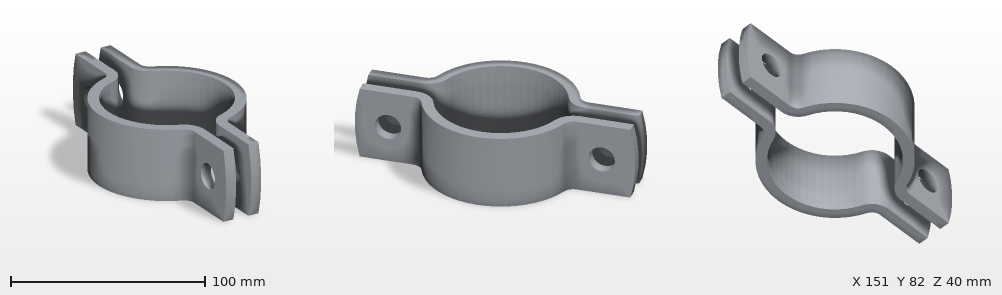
import cadquery as cq
import math

length = 151.0
depth = 82.0
width = 40.0
thickness = 6.0
gap = 9.0
bend_inside_radius = 6.0
hole_diameter = 14.0
hole_spacing = 115.0

outer_radius = depth / 2
inner_radius = outer_radius - thickness

half_length = length / 2
ear_inner_y = gap / 2
ear_outer_y = ear_inner_y + thickness

bend_outside_radius = bend_inside_radius + thickness
bend_y = ear_outer_y + bend_inside_radius
bend_distance = outer_radius + bend_inside_radius
bend_x = math.sqrt(bend_distance**2 - bend_y**2)
bend_angle = math.atan2(bend_y, bend_x)


def bend_points(radius):
    """Middle of the right-hand bend arc and its tangent point on the saddle."""
    end_angle = math.pi + bend_angle
    mid_angle = (end_angle + 1.5 * math.pi) / 2
    return [
        (bend_x + radius * math.cos(angle), bend_y + radius * math.sin(angle))
        for angle in (mid_angle, end_angle)
    ]


def mirror_x(point):
    return (-point[0], point[1])


def make_strap():
    """Bent strip of constant thickness with square ends, on the +Y side."""
    outer_mid, outer_end = bend_points(bend_inside_radius)
    inner_mid, inner_end = bend_points(bend_outside_radius)
    return (
        cq.Workplane("XY")
        .moveTo(half_length, ear_inner_y)
        .lineTo(half_length, ear_outer_y)
        .lineTo(bend_x, ear_outer_y)
        .threePointArc(outer_mid, outer_end)
        .threePointArc((0, outer_radius), mirror_x(outer_end))
        .threePointArc(mirror_x(outer_mid), (-bend_x, ear_outer_y))
        .lineTo(-half_length, ear_outer_y)
        .lineTo(-half_length, ear_inner_y)
        .lineTo(-bend_x, ear_inner_y)
        .threePointArc(mirror_x(inner_mid), mirror_x(inner_end))
        .threePointArc((0, inner_radius), inner_end)
        .threePointArc(inner_mid, (bend_x, ear_inner_y))
        .close()
        .extrude(width / 2, both=True)
    )


def make_end_rounding():
    """Cylinder along Y, centred on the clamp, that trims both ear ends round."""
    return cq.Workplane("XZ").circle(half_length).extrude(depth, both=True)


def make_bolt_holes():
    """Cylinders along Y for the bolt hole in each ear."""
    return (
        cq.Workplane("XZ")
        .pushPoints([(-hole_spacing / 2, 0), (hole_spacing / 2, 0)])
        .circle(hole_diameter / 2)
        .extrude(depth, both=True)
    )


def make_half_clamp(turn):
    """One half clamp, turned about Z by the given angle in degrees."""
    half_clamp = make_strap().intersect(make_end_rounding()).cut(make_bolt_holes())
    return half_clamp.rotate((0, 0, 0), (0, 0, 1), turn)


half_clamps = [make_half_clamp(turn).solids().val() for turn in (0, 180)]

result = cq.Compound.makeCompound(half_clamps)